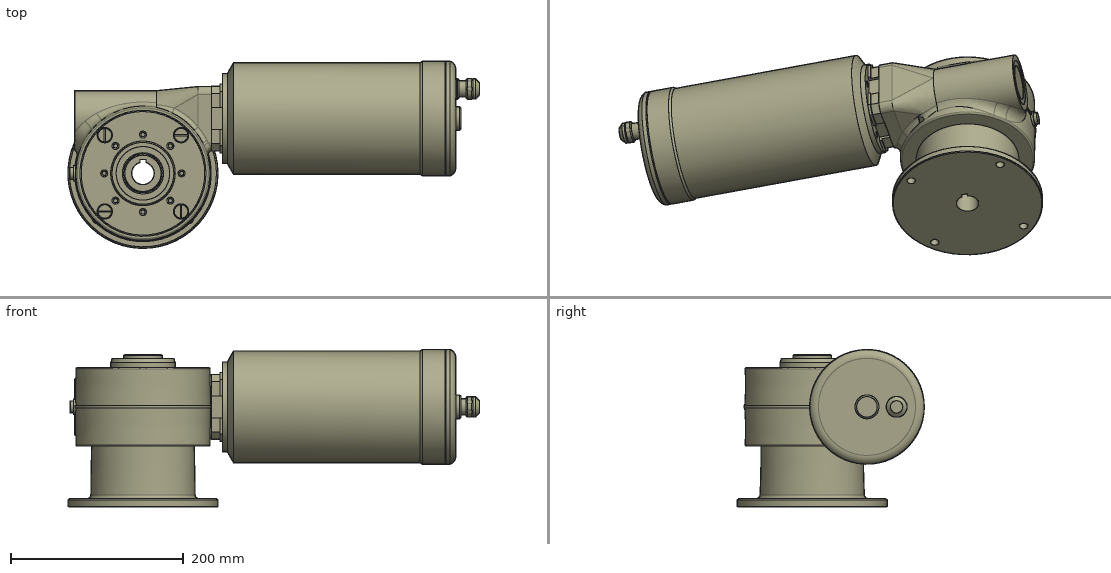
import cadquery as cq
import math

flange_radius = 174.0 / 2
flange_height = 10.0
flange_chamfer = 2.0
flange_hole_diameter = 9.5
flange_hole_circle = 75.5

column_base_radius = 60.5
column_top_radius = 59.5
column_fillet = 4.5

drum_bottom = 70.5
drum_top = 161.5
drum_mid_radius = 78.0
drum_end_radius = 77.5
drum_edge_fillet = 2.0
seam_radius = 79.0
seam_height = 3.0

axis_y = 63.5
axis_z = (drum_bottom + drum_top) / 2

cover_radius = 71.5
cover_gap = 1.5
cover_gap_depth = 1.0
tapped_hole_circle = 45.0
tapped_hole_count = 8
tapped_hole_diameter = 5.0
tapped_hole_mouth = 8.0
tapped_hole_depth = 9.5
screw_circle = 62.5
screw_diameter = 15.5
screw_gap = 1.0
screw_gap_depth = 0.5
slot_width = 1.5
slot_depth = 2.0

boss_radius = 75.0 / 2
boss_shoulder_z = 167.3
boss_top_radius = 35.5
boss_top = 172.0
seal_outer_radius = 31.0
seal_inner_radius = 24.0
seal_depth = 1.0
shaft_radius = 22.5
shaft_top = 177.0
shaft_chamfer = 1.5
bore_diameter = 25.5
keyway_width = 6.5
keyway_reach = 15.5

tube_radius = 32.5
tube_start = -79.0
tube_blend = 12.0
tube_overshoot = 119.0
tube_recess_diameters = (52.0, 39.5)
tube_recess_step = 0.5
loft_start = 15.5
loft_end = 64.0
mount_end = 79.5
mount_half = 37.0
mount_corner = 9.0
mount_blend = 5.5

neck_half = 37.5
neck_corner = 8.5
neck_notch_width = 25.3
neck_notch_depth = 5.5
neck_end = 89.0
plate_half = 40.0
adapter_start = 92.0
adapter_radius = 104.5 / 2
adapter_hole_circle = 85.5 / 2
adapter_hole_diameter = 7.0

motor_start = 97.5
motor_shoulder = 105.0
motor_radius = 65.0
cap_start = 320.5
cap_radius = 133.0 / 2
cap_edge_length = 3.0
cap_groove_start = 349.5
cap_groove_width = 1.5
cap_groove_depth = 0.5
cap_shoulder = 355.5
cap_face = 362.0
cap_face_radius = 56.0
cap_bevel_mid = (360.0, 63.0)

gland_offset = 34.5
overall_length = 476.5
gland_end = overall_length - flange_radius
gland_radius = 24.5 / 2
gland_flats = 24.0
gland_base_end = 365.5
gland_neck_radius = 9.5
gland_nut_start = 374.0
gland_nut_chamfer = 1.5
gland_tip_length = 7.5
gland_tip_chamfer = 5.0
plug_radius = 14.0
plug_height = 6.0
plug_chamfer = 2.0

oil_plug_end = -84.5
oil_plug_diameter = 14.0
oil_collar_diameter = 17.5
oil_collar_end = -80.5
oil_plug_root = 5 - drum_mid_radius


def rod(x_start, x_end, radius, y=axis_y):
    """Cylinder along X at the height of the motor axis."""
    plane = cq.Workplane("YZ", origin=(x_start, y, axis_z))
    return plane.circle(radius).extrude(x_end - x_start)


def square_bar(x_start, x_end, half, corner):
    """Square bar along the motor axis with bevelled long edges."""
    plane = cq.Workplane("YZ", origin=(x_start, axis_y, axis_z))
    bar = plane.rect(2 * half, 2 * half).extrude(x_end - x_start)
    return bar.edges("|X").chamfer(corner)


def hex_nut(x_start, x_end, y):
    """Chamfered nut: a round bar trimmed by a hexagon with a flat facing up."""
    plane = cq.Workplane("YZ", origin=(x_start, y, axis_z))
    hexagon = plane.polygon(6, gland_flats / math.cos(math.pi / 6)).extrude(x_end - x_start)
    bar = rod(x_start, x_end, gland_radius, y).faces("<X or >X").chamfer(gland_nut_chamfer)
    return hexagon.intersect(bar)


def make_drum():
    """Gear housing: two tapered halves meeting at the motor axis height."""
    profile = (
        cq.Workplane("XZ")
        .moveTo(0, drum_bottom)
        .lineTo(drum_end_radius, drum_bottom)
        .lineTo(drum_mid_radius, axis_z)
        .lineTo(drum_end_radius, drum_top)
        .lineTo(0, drum_top)
        .close()
    )
    drum = profile.revolve(360, (0, 0), (0, 1))
    drum = drum.faces(">Z or <Z").edges().fillet(drum_edge_fillet)
    seam = cq.Workplane("XY", origin=(0, 0, axis_z - seam_height / 2))
    return drum.union(seam.circle(seam_radius).extrude(seam_height))


def make_drum_core():
    """Plain cylinder that stays inside the tapered drum and carries the blends."""
    base = cq.Workplane("XY", origin=(0, 0, drum_bottom + drum_edge_fillet))
    return base.circle(drum_end_radius).extrude(drum_top - drum_bottom - 2 * drum_edge_fillet)


def make_tube():
    """Worm tube with a concave blend where it meets the drum and stepped end recesses."""
    crossing = make_drum_core().union(rod(-tube_overshoot, tube_overshoot, tube_radius))
    blended = crossing.edges("not (%LINE or %CIRCLE)").fillet(tube_blend)
    length = loft_start - tube_start
    limits = cq.Workplane("YZ", origin=(tube_start, 0, axis_z))
    limits = limits.rect(2 * tube_overshoot, 2 * tube_overshoot)
    tube = blended.intersect(limits.extrude(length))
    for step, diameter in enumerate(tube_recess_diameters, start=1):
        tube = tube.cut(rod(tube_start, tube_start + step * tube_recess_step, diameter / 2))
    return tube


def make_mount():
    """Square motor mount, its transition from the round tube and its blend into the drum."""
    round_end = cq.Sketch().rect(2 * tube_radius, 2 * tube_radius).vertices().fillet(0.999 * tube_radius)
    square_end = cq.Sketch().rect(2 * mount_half, 2 * mount_half).vertices().fillet(mount_corner)
    shift = cq.Location(cq.Vector(0, 0, loft_end - loft_start))
    start_plane = cq.Workplane("YZ", origin=(loft_start, axis_y, axis_z))
    transition = start_plane.placeSketch(round_end, square_end.moved(shift)).loft()
    end_plane = cq.Workplane("YZ", origin=(loft_end, axis_y, axis_z))
    block = end_plane.placeSketch(square_end).extrude(mount_end - loft_end)
    diagonal = drum_end_radius * math.sqrt(0.5)
    upper_seam = cq.NearestToPointSelector((diagonal, diagonal, axis_z + mount_half))
    mount = make_drum_core().union(transition).union(block)
    return mount.edges(upper_seam).fillet(mount_blend)


def make_neck():
    """Square neck notched at the middle of each side, and the adapter plates behind it."""
    neck = square_bar(mount_end, neck_end, neck_half, neck_corner)
    neck = neck.union(square_bar(neck_end, adapter_start, plate_half, neck_corner))
    notch = cq.Workplane("YZ", origin=(mount_end, axis_y, axis_z))
    notch = notch.polarArray(plate_half, 0, 360, 4).rect(2 * neck_notch_depth, neck_notch_width)
    neck = neck.cut(notch.extrude(adapter_start - mount_end))
    disc = rod(adapter_start, motor_start, adapter_radius)
    holes = cq.Workplane("YZ", origin=(adapter_start, axis_y, axis_z))
    holes = holes.polarArray(adapter_hole_circle, 0, 360, 4).circle(adapter_hole_diameter / 2)
    disc = disc.cut(holes.extrude(motor_start - adapter_start))
    return neck.union(disc)


def make_motor():
    """Motor housing with a conical nose and a grooved end cap with a rounded rim."""
    groove_end = cap_groove_start + cap_groove_width
    groove_radius = cap_radius - cap_groove_depth
    half = (
        cq.Workplane("XY")
        .moveTo(motor_start, 0)
        .lineTo(motor_start, adapter_radius)
        .lineTo(motor_shoulder, motor_radius)
        .lineTo(cap_start, motor_radius)
        .lineTo(cap_start + cap_edge_length, cap_radius)
        .lineTo(cap_groove_start, cap_radius)
        .lineTo(cap_groove_start, groove_radius)
        .lineTo(groove_end, groove_radius)
        .lineTo(groove_end, cap_radius)
        .lineTo(cap_shoulder, cap_radius)
        .threePointArc(cap_bevel_mid, (cap_face, cap_face_radius))
        .lineTo(cap_face, 0)
        .close()
    )
    motor = half.revolve(360, (0, 0), (1, 0))
    return motor.translate((0, axis_y, axis_z))


def make_cap_fittings():
    """Cable gland beside the motor axis and a low plug on the axis."""
    gland_y = axis_y + gland_offset
    gland = hex_nut(cap_face, gland_base_end, gland_y)
    gland = gland.union(rod(gland_base_end, gland_nut_start, gland_neck_radius, gland_y))
    tip_start = gland_end - gland_tip_length
    gland = gland.union(hex_nut(gland_nut_start, tip_start, gland_y))
    tip = rod(tip_start, gland_end, gland_flats / 2, gland_y)
    gland = gland.union(tip.faces(">X").chamfer(gland_tip_chamfer))
    plug = rod(cap_face, cap_face + plug_height, plug_radius).faces(">X").chamfer(plug_chamfer)
    return gland.union(plug)


def make_stand():
    """Mounting flange and the slightly tapered column above it."""
    column_start = flange_height + column_fillet
    arc_mid = column_fillet * (1 - math.sqrt(0.5))
    profile = (
        cq.Workplane("XZ")
        .lineTo(flange_radius - flange_chamfer / 2, 0)
        .lineTo(flange_radius, flange_chamfer / 2)
        .lineTo(flange_radius, flange_height - flange_chamfer)
        .lineTo(flange_radius - flange_chamfer, flange_height)
        .lineTo(column_base_radius + column_fillet, flange_height)
        .threePointArc(
            (column_base_radius + arc_mid, flange_height + arc_mid),
            (column_base_radius, column_start),
        )
        .lineTo(column_top_radius, drum_bottom)
        .lineTo(0, drum_bottom)
        .close()
    )
    stand = profile.revolve(360, (0, 0), (0, 1))
    holes = (
        cq.Workplane("XY")
        .polarArray(flange_hole_circle, 45, 360, 4)
        .circle(flange_hole_diameter / 2)
        .extrude(flange_height)
    )
    return stand.cut(holes)


def make_boss():
    """Bearing boss with a sunken seal ring and the hollow shaft end."""
    outline = [
        (0, drum_top),
        (boss_radius, drum_top),
        (boss_radius, boss_shoulder_z),
        (boss_top_radius, boss_top),
        (seal_outer_radius, boss_top),
        (seal_outer_radius, boss_top - seal_depth),
        (seal_inner_radius, boss_top - seal_depth),
        (seal_inner_radius, boss_top),
        (shaft_radius, boss_top),
        (shaft_radius, shaft_top - shaft_chamfer),
        (shaft_radius - shaft_chamfer, shaft_top),
        (0, shaft_top),
    ]
    return cq.Workplane("XZ").polyline(outline).close().revolve(360, (0, 0), (0, 1))


def make_oil_plug():
    """Plug with a collar on the -X side of the drum."""
    plug = rod(oil_plug_end, oil_plug_root, oil_plug_diameter / 2, 0)
    return plug.union(rod(oil_collar_end, oil_plug_root, oil_collar_diameter / 2, 0))


def around_top(circle_radius, count, start_angle):
    """Evenly spaced points on the drum's top face."""
    top = cq.Workplane("XY", origin=(0, 0, drum_top))
    return top.polarArray(circle_radius, start_angle, 360, count, rotate=False)


def cut_cover(body):
    """Thin circular gap around the cover."""
    top = cq.Workplane("XY", origin=(0, 0, drum_top))
    return body.cut(top.circle(cover_radius + cover_gap).circle(cover_radius).extrude(-cover_gap_depth))


def cut_tapped_holes(body):
    """Ring of countersunk holes in the cover."""
    shafts = around_top(tapped_hole_circle, tapped_hole_count, 0)
    shafts = shafts.circle(tapped_hole_diameter / 2).extrude(-tapped_hole_depth)
    mouth_depth = (tapped_hole_mouth - tapped_hole_diameter) / 2
    mouths = around_top(tapped_hole_circle, tapped_hole_count, 0)
    mouths = mouths.circle(tapped_hole_mouth / 2).extrude(-mouth_depth, taper=45)
    return body.cut(shafts).cut(mouths)


def cut_screws(body):
    """Four flush screw heads; each slot is a quarter turn from its neighbours."""
    rings = around_top(screw_circle, 4, 45).circle(screw_diameter / 2 + screw_gap)
    heads = around_top(screw_circle, 4, 45).circle(screw_diameter / 2).extrude(-screw_gap_depth)
    body = body.cut(rings.extrude(-screw_gap_depth).cut(heads))
    slots_along_x = around_top(screw_circle, 2, 45).rect(screw_diameter, slot_width)
    slots_along_y = around_top(screw_circle, 2, 135).rect(slot_width, screw_diameter)
    return body.cut(slots_along_x.extrude(-slot_depth)).cut(slots_along_y.extrude(-slot_depth))


def make_bore():
    """Through bore with a keyway on the +Y side."""
    bore = cq.Workplane("XY").circle(bore_diameter / 2).extrude(shaft_top)
    keyway = cq.Workplane("XY").center(0, keyway_reach / 2)
    keyway = keyway.rect(keyway_width, keyway_reach).extrude(shaft_top)
    return bore.union(keyway)


result = make_stand()
for part in (
    make_drum(),
    make_tube(),
    make_mount(),
    make_neck(),
    make_motor(),
    make_cap_fittings(),
    make_boss(),
    make_oil_plug(),
):
    result = result.union(part)
result = cut_screws(cut_tapped_holes(cut_cover(result)))
result = result.cut(make_bore())